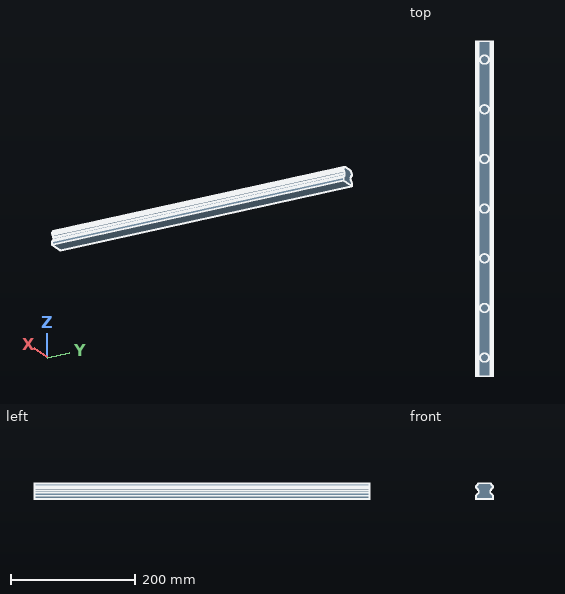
import cadquery as cq
import math

length = 540.0
width = 28.0
height = 26.0
half_width = width / 2

foot_shoulder = (half_width, 5.8)
neck_bottom = (9.6, 10.2)
neck_top = (9.6, 13.8)
lower_groove_inner = (10.6, 14.4)
lower_groove_outer = (12.5, 17.4)
head_underside = (half_width, 19.0)
head_shoulder = (half_width, 20.9)
upper_groove_outer = (12.3, 22.7)
upper_groove_inner = (10.7, 25.0)
top_corner = (9.3, height)

groove_radius = 3.0

hole_count = 7
hole_pitch = 80.0
cap_diameter = 14.0
cap_recess = 0.2


def groove_bottom(start, end):
    """Deepest point of a ball groove that spans two section corners on the +X side."""
    dx = end[0] - start[0]
    dz = end[1] - start[1]
    span = math.hypot(dx, dz)
    depth = groove_radius - math.sqrt(groove_radius**2 - (span / 2) ** 2)
    middle_x = (start[0] + end[0]) / 2
    middle_z = (start[1] + end[1]) / 2
    return (middle_x - depth * dz / span, middle_z + depth * dx / span)


def make_rail():
    """Half section extruded along Y about the origin, then mirrored to the -X side."""
    half_rail = (
        cq.Workplane("XZ")
        .lineTo(half_width, 0)
        .lineTo(*foot_shoulder)
        .lineTo(*neck_bottom)
        .lineTo(*neck_top)
        .lineTo(*lower_groove_inner)
        .threePointArc(groove_bottom(lower_groove_inner, lower_groove_outer), lower_groove_outer)
        .lineTo(*head_underside)
        .lineTo(*head_shoulder)
        .lineTo(*upper_groove_outer)
        .threePointArc(groove_bottom(upper_groove_outer, upper_groove_inner), upper_groove_inner)
        .lineTo(*top_corner)
        .lineTo(0, height)
        .close()
        .extrude(length / 2, both=True)
    )
    return half_rail.union(half_rail.mirror("YZ")).clean()


def make_cap_recesses():
    """Shallow round recesses where the mounting holes are capped."""
    return (
        cq.Workplane("XY", origin=(0, 0, height - cap_recess))
        .rarray(1, hole_pitch, 1, hole_count)
        .circle(cap_diameter / 2)
        .extrude(cap_recess)
    )


result = make_rail().cut(make_cap_recesses())